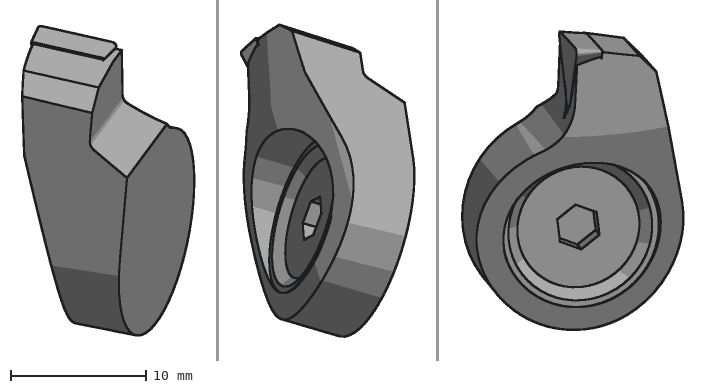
import cadquery as cq
import math

BOSS_RADIUS = 7.8
BLANK_THICKNESS = 11.4

FRONT_RADIUS = 18.92
RIDGE_X = -9.15
RIDGE_Z = 8.1
LOWER_FRONT_TILT = 14.8
UPPER_FRONT_TILT = 3.1
FRONT_HALF_LENGTH = 34.2

FLANK_TILT = 13.2
BLANK_TOP = 17.1
NECK_ANGLE = 117.2
NECK_TOP_Y = 1.2
NECK_TOP_Z = 10.53
SEAT_SIDE_Y = 1.05
CROWN_Z = 14.4
CROWN_SLOPE_Y = -0.8
CROWN_CHAMFER_Y = -3.72
CROWN_CHAMFER_Z = 13.86
FLANK_TOP_Y = -5.05
FLANK_TOP_Z = 12.5
CROWN_TILT = 1.7

STEP_X = -3.15
STEP_FOOT_Z = 8.1
STEP_SLOPE = 30.0
STEP_FILLET = 0.75

BORE_DIAMETER = 11.85
LEDGE_X = -5.35
CONE_DIAMETER = 10.85
FLOOR_DIAMETER = 9.2
FLOOR_X = -4.67
HEX_ACROSS_CORNERS = 3.47
HEX_DEPTH = 1.4
HEX_TURN = 7.0

TIP_FACE_Y = 1.23
TIP_THICKNESS = 2.0
TIP_POINT_X = -6.93
TIP_POINT_Z = 9.03
TIP_HEIGHT = 5.88
TIP_HALF_ANGLE = math.radians(30)
TIP_CORNER_RADIUS = 0.36
TIP_CLEARANCE = 7.0


def boss_point(angle):
    """Point (Y, Z) on the boss outline, with the angle turning from -Y towards +Z."""
    turn = math.radians(angle)
    return (-BOSS_RADIUS * math.cos(turn), BOSS_RADIUS * math.sin(turn))


def make_blank():
    """Boss and head outline, extruded away from the mounting face."""
    flank_start = boss_point(FLANK_TILT)
    flank_rise = BLANK_TOP - flank_start[1]
    flank_end_y = flank_start[0] + flank_rise * math.tan(math.radians(FLANK_TILT))
    neck_start = boss_point(NECK_ANGLE)
    return (
        cq.Workplane("YZ")
        .moveTo(*flank_start)
        .threePointArc((0, -BOSS_RADIUS), (BOSS_RADIUS, 0))
        .threePointArc(boss_point((180 + NECK_ANGLE) / 2), neck_start)
        .tangentArcPoint((NECK_TOP_Y, NECK_TOP_Z), relative=False)
        .lineTo(SEAT_SIDE_Y, CROWN_Z)
        .lineTo(SEAT_SIDE_Y, BLANK_TOP)
        .lineTo(flank_end_y, BLANK_TOP)
        .close()
        .extrude(-BLANK_THICKNESS)
    )


def front_cylinder(tilt):
    """Cylinder whose foremost line passes through the ridge and leans to -X."""
    return (
        cq.Workplane("XY")
        .center(FRONT_RADIUS, 0)
        .circle(FRONT_RADIUS)
        .extrude(FRONT_HALF_LENGTH, both=True)
        .rotate((0, 0, 0), (0, 1, 0), -tilt)
        .translate((RIDGE_X, 0, RIDGE_Z))
    )


def make_crown():
    """Region below the faceted crown, tilted about the top of the clearance step."""
    reach = 2 * BOSS_RADIUS
    chamfer_slope = (CROWN_CHAMFER_Z - FLANK_TOP_Z) / (CROWN_CHAMFER_Y - FLANK_TOP_Y)
    outer_z = FLANK_TOP_Z - chamfer_slope * (FLANK_TOP_Y + reach)
    return (
        cq.Workplane("YZ")
        .moveTo(-reach, -reach)
        .lineTo(-reach, outer_z)
        .lineTo(CROWN_CHAMFER_Y, CROWN_CHAMFER_Z)
        .lineTo(CROWN_SLOPE_Y, CROWN_Z)
        .lineTo(reach, CROWN_Z)
        .lineTo(reach, -reach)
        .close()
        .extrude(2 * BLANK_THICKNESS, both=True)
        .rotate((STEP_X, 0, CROWN_Z), (STEP_X, 1, CROWN_Z), CROWN_TILT)
    )


def make_step():
    """Material removed behind the head, with a rounded inside corner."""
    corner_z = STEP_FOOT_Z - STEP_X * math.tan(math.radians(STEP_SLOPE))
    return (
        cq.Workplane("XZ")
        .moveTo(0, STEP_FOOT_Z)
        .lineTo(STEP_X, corner_z)
        .lineTo(STEP_X, BLANK_TOP)
        .lineTo(0, BLANK_TOP)
        .close()
        .extrude(2 * BOSS_RADIUS, both=True)
        .edges("|Y")
        .edges("<X")
        .edges("<Z")
        .fillet(STEP_FILLET)
    )


def make_recess():
    """Round bore, conical step and flat floor, open to -X."""
    return (
        cq.Workplane("XY")
        .moveTo(-BLANK_THICKNESS, 0)
        .lineTo(-BLANK_THICKNESS, BORE_DIAMETER / 2)
        .lineTo(LEDGE_X, BORE_DIAMETER / 2)
        .lineTo(LEDGE_X, CONE_DIAMETER / 2)
        .lineTo(FLOOR_X, FLOOR_DIAMETER / 2)
        .lineTo(FLOOR_X, 0)
        .close()
        .revolve(360, (0, 0, 0), (1, 0, 0))
    )


def make_socket():
    """Hexagonal socket sunk into the recess floor."""
    return (
        cq.Workplane("YZ", origin=(FLOOR_X, 0, 0))
        .polygon(6, HEX_ACROSS_CORNERS)
        .extrude(HEX_DEPTH)
        .rotate((0, 0, 0), (1, 0, 0), 90 - HEX_TURN)
    )


def tip_prism(length, taper):
    """Equilateral tip outline, point down, extruded along -Y, or along +Y for a negative length."""
    half_width = TIP_HEIGHT * math.tan(TIP_HALF_ANGLE)
    inset = TIP_CORNER_RADIUS / math.tan(TIP_HALF_ANGLE)
    side_x = inset * math.sin(TIP_HALF_ANGLE)
    side_z = inset * math.cos(TIP_HALF_ANGLE)
    arc_z = TIP_HEIGHT - TIP_CORNER_RADIUS
    arc_x = half_width - inset
    arc_mid_x = arc_x + TIP_CORNER_RADIUS * math.cos(TIP_HALF_ANGLE)
    arc_mid_z = arc_z + TIP_CORNER_RADIUS * math.sin(TIP_HALF_ANGLE)
    return (
        cq.Workplane("XZ", origin=(TIP_POINT_X, TIP_FACE_Y, TIP_POINT_Z))
        .moveTo(0, 0)
        .lineTo(half_width - side_x, TIP_HEIGHT - side_z)
        .threePointArc((arc_mid_x, arc_mid_z), (arc_x, TIP_HEIGHT))
        .lineTo(-arc_x, TIP_HEIGHT)
        .threePointArc((-arc_mid_x, arc_mid_z), (side_x - half_width, TIP_HEIGHT - side_z))
        .close()
        .extrude(length, taper=taper)
        .rotate((TIP_POINT_X, 0, TIP_POINT_Z), (TIP_POINT_X, 1, TIP_POINT_Z), CROWN_TILT)
    )


def make_tip():
    """Cutting tip with clearance on all sides behind its flat cutting face."""
    return tip_prism(TIP_THICKNESS, TIP_CLEARANCE)


def make_holder(tip):
    """Tool body with the recess, the socket and a seat that matches the tip."""
    holder = make_blank().intersect(front_cylinder(LOWER_FRONT_TILT))
    holder = holder.intersect(front_cylinder(UPPER_FRONT_TILT))
    holder = holder.intersect(make_crown())
    holder = holder.cut(make_step()).cut(make_recess()).cut(make_socket())
    seat_mouth = tip_prism(-BOSS_RADIUS, 0)
    return holder.cut(tip).cut(seat_mouth)


tip = make_tip()
holder = make_holder(tip)

result = cq.Compound.makeCompound([holder.solids().val(), tip.val()])